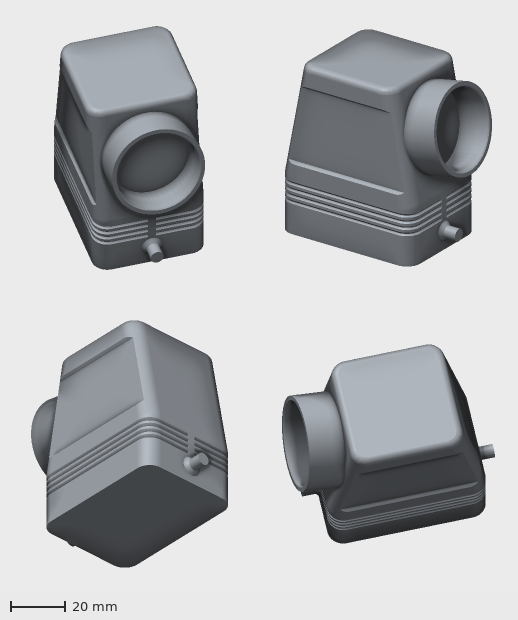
import cadquery as cq
import math


body_length = 59.9
body_width = 43.0
body_height = 70.0
taper_start = 23.5
taper_angle = 11.0
corner_radius = 6.0
taper_blend_radius = 5.9
top_fillet = 2.5

panel_depth = 1.1
panel_bottom = 28.6
panel_top = 61.6

groove_count = 4
groove_pitch = 2.5
lowest_groove_base = 12.4
groove_lower_rise = 0.59
groove_upper_rise = 0.9
groove_depth = 0.8
groove_bridge_width = 3.0

pin_height = 7.5
pin_diameter = 5.0
pin_tip = 36.55
collar_diameter = 8.0
collar_length = 1.5

entry_diameter = 35.9
entry_wall = 2.0
entry_mouth_chamfer = 0.4
entry_mouth_angle = 45.0
entry_end_height = 51.2
overall_length = 78.45

half_length = body_length / 2
half_width = body_width / 2
taper_radians = math.radians(taper_angle)
top_half_length = half_length - (body_height - taper_start) * math.tan(taper_radians)


def make_body():
    """Block that narrows along X above the taper start, with rounded corners and top rim."""
    profile = [
        (-half_length, 0),
        (half_length, 0),
        (half_length, taper_start),
        (top_half_length, body_height),
        (-top_half_length, body_height),
        (-half_length, taper_start),
    ]
    block = cq.Workplane("XZ").polyline(profile).close().extrude(half_width, both=True)
    taper_edges = block.edges("|Y").edges("not(<Z or >Z)")
    block = taper_edges.fillet(taper_blend_radius)
    block = block.faces("<Y or >Y").edges("not #Z").fillet(corner_radius)
    return block.faces(">Z").edges().fillet(top_fillet)


def make_panel_cut(side):
    """Full-length recess in one long side, its upper and lower walls sloping at 45 degrees."""
    outline = [
        (side * half_width, panel_bottom),
        (side * (half_width - panel_depth), panel_bottom + panel_depth),
        (side * (half_width - panel_depth), panel_top - panel_depth),
        (side * half_width, panel_top),
    ]
    return cq.Workplane("YZ").polyline(outline).close().extrude(half_length, both=True)


def make_base_outline(height):
    """Rounded outline of the straight base at the given height."""
    corners = cq.Sketch().rect(body_length, body_width).vertices().fillet(corner_radius)
    return cq.Workplane("XY").workplane(offset=height).placeSketch(corners)


def make_groove_cut(base_height):
    """V-shaped ring around the base, interrupted in the middle of both short sides."""
    lower_taper = math.degrees(math.atan2(groove_depth, groove_lower_rise))
    upper_taper = math.degrees(math.atan2(groove_depth, groove_upper_rise))
    groove_height = groove_lower_rise + groove_upper_rise
    ring = make_base_outline(base_height).extrude(groove_height)
    lower_core = make_base_outline(base_height).extrude(groove_lower_rise, taper=lower_taper)
    upper_core = make_base_outline(base_height + groove_height).extrude(-groove_upper_rise, taper=upper_taper)
    base_plane = cq.Workplane("XY").workplane(offset=base_height)
    bridge = base_plane.rect(body_length, groove_bridge_width).extrude(groove_height)
    return ring.cut(lower_core).cut(upper_core).cut(bridge)


def make_pins():
    """Pins on both short sides, each with a conical collar at its root."""
    pin_radius = pin_diameter / 2
    collar_radius = collar_diameter / 2
    collar_end = half_length + collar_length
    half_profile = [
        (0, 0),
        (0, collar_radius),
        (half_length, collar_radius),
        (collar_end, pin_radius),
        (pin_tip, pin_radius),
        (pin_tip, 0),
    ]
    pin = cq.Workplane("XY").polyline(half_profile).close().revolve(360, (0, 0, 0), (1, 0, 0))
    return pin.union(pin.mirror("YZ")).translate((0, 0, pin_height))


entry_radius = entry_diameter / 2
entry_end_x = overall_length - pin_tip - entry_radius * math.sin(taper_radians)
side_x_at_entry = half_length - (entry_end_height - taper_start) * math.tan(taper_radians)
entry_length = (entry_end_x - side_x_at_entry) * math.cos(taper_radians)
entry_plane = cq.Plane(
    origin=(entry_end_x, 0, entry_end_height),
    xDir=(0, 1, 0),
    normal=(math.cos(taper_radians), 0, math.sin(taper_radians)),
)


def make_entry_tube():
    """Solid cylinder square to the tapered side, rooted deep enough to meet the rounded corners."""
    return cq.Workplane(entry_plane).circle(entry_radius).extrude(-entry_length - corner_radius)


def make_entry_bore():
    """Bore from the open end to the plane of the tapered side, widened by a chamfer at its mouth."""
    bore_radius = entry_radius - entry_wall
    bore = cq.Workplane(entry_plane).circle(bore_radius).extrude(-entry_length)
    mouth = cq.Workplane(entry_plane).circle(bore_radius + entry_mouth_chamfer)
    return bore.union(mouth.extrude(-entry_mouth_chamfer, taper=entry_mouth_angle))


result = make_body()
for side in (-1, 1):
    result = result.cut(make_panel_cut(side))
for index in range(groove_count):
    result = result.cut(make_groove_cut(lowest_groove_base + index * groove_pitch))
result = result.union(make_pins()).union(make_entry_tube()).cut(make_entry_bore())